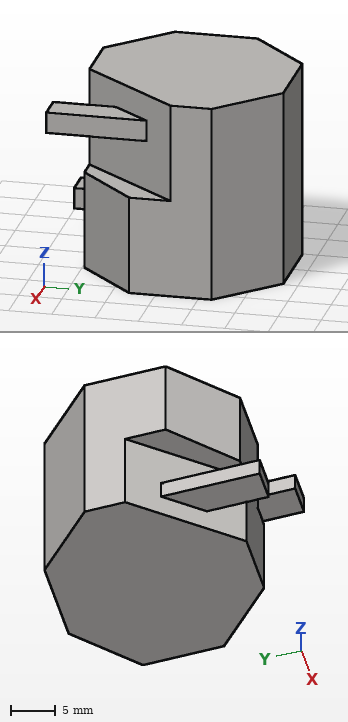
import cadquery as cq
import math

total_depth = 26.5
body_width = 23.0
body_height = 23.0
flat_leg = 9.28
side_count = 8
pin_width = 3.5
pin_height = 2.46
pin_side_gap = 2.75
pin_end_gap = 3.13

half_width = body_width / 2
half_height = body_height / 2
pin_tip_y = -half_width - (total_depth - body_width)
half_side_angle = 180 / side_count
corner_diameter = body_width / math.cos(math.radians(half_side_angle))


def make_lower_half():
    """Octagonal block with its -X, -Y corner sliced off, and one pin leaving the slice."""
    block = (
        cq.Workplane("XY")
        .workplane(offset=-half_height)
        .transformed(rotate=(0, 0, half_side_angle))
        .polygon(side_count, corner_diameter)
        .extrude(half_height)
    )
    corner = (
        cq.Workplane("XY")
        .workplane(offset=-half_height)
        .moveTo(-half_width, 0)
        .lineTo(-half_width, -half_width)
        .lineTo(-half_width + flat_leg, -half_width)
        .close()
        .extrude(half_height)
    )
    pin = cq.Workplane("XY").box(pin_width, -pin_tip_y, pin_height, centered=False).translate(
        (-half_width + pin_side_gap, pin_tip_y, -half_height + pin_end_gap)
    )
    return block.cut(corner).union(pin)


lower_half = make_lower_half()
upper_half = lower_half.rotate((0, 0, 0), (0, 1, 0), 180)
result = lower_half.union(upper_half)